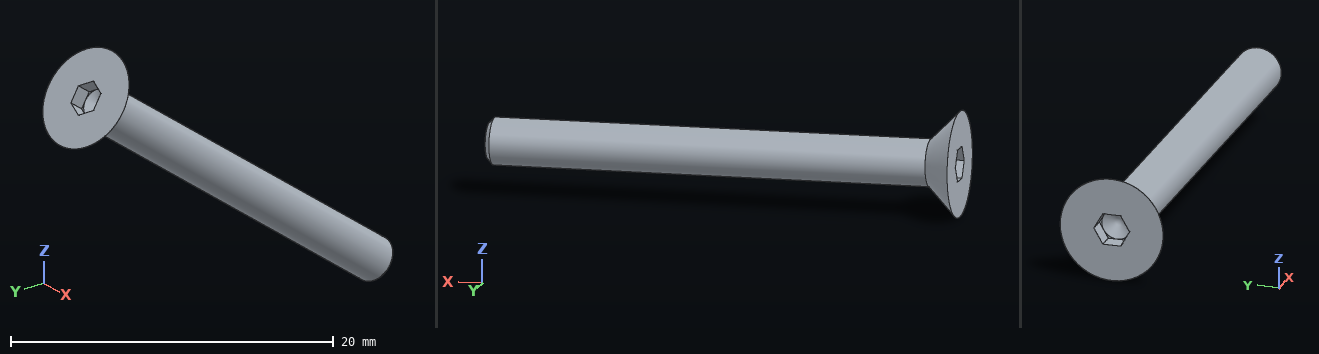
import cadquery as cq
import math

length = 30.0
shank_diameter = 3.0
head_diameter = 6.72
tip_chamfer = 0.33
socket_across_flats = 2.0
socket_depth = 1.1
socket_cone_half_angle = 60.0

shank_radius = shank_diameter / 2
head_radius = head_diameter / 2
head_height = head_radius - shank_radius


def make_body():
    """Head, shank and chamfered tip as one revolved half profile."""
    return (
        cq.Workplane("XY")
        .moveTo(0, 0)
        .lineTo(0, head_radius)
        .lineTo(head_height, shank_radius)
        .lineTo(length - tip_chamfer, shank_radius)
        .lineTo(length, shank_radius - tip_chamfer)
        .lineTo(length, 0)
        .close()
        .revolve(360, (0, 0, 0), (1, 0, 0))
    )


def make_socket():
    """Hexagonal socket with two flats facing up and down and a conical bottom."""
    across_corners = socket_across_flats / math.cos(math.radians(30))
    hexagon = cq.Workplane("YZ").polygon(6, across_corners).extrude(socket_depth)
    cone_radius = socket_across_flats / 2
    cone_height = cone_radius / math.tan(math.radians(socket_cone_half_angle))
    cone = (
        cq.Workplane("XY")
        .moveTo(socket_depth, 0)
        .lineTo(socket_depth, cone_radius)
        .lineTo(socket_depth + cone_height, 0)
        .close()
        .revolve(360, (0, 0, 0), (1, 0, 0))
    )
    return hexagon.union(cone)


result = make_body().cut(make_socket())